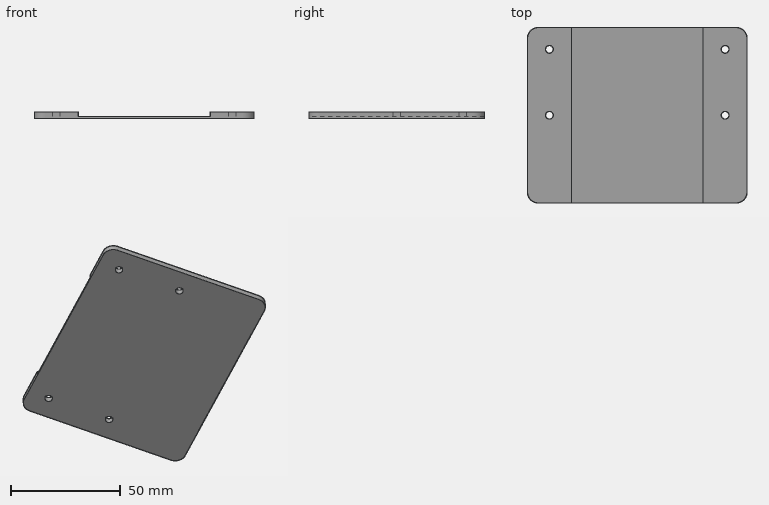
import cadquery as cq

length = 100.0
width = 80.0
thickness = 3.0
corner_radius = 5.0

strip_width = 20.0
floor_thickness = 1.0
channel_width = length - 2 * strip_width

hole_diameter = 3.4
hole_x = (length - strip_width) / 2
hole_spacing = 30.0
rear_hole_inset = 10.0
rear_hole_y = width / 2 - rear_hole_inset
hole_points = [
    (x, y)
    for x in (-hole_x, hole_x)
    for y in (rear_hole_y, rear_hole_y - hole_spacing)
]

plate = (
    cq.Workplane("XY")
    .rect(length, width)
    .extrude(thickness)
    .edges("|Z")
    .fillet(corner_radius)
)

channel = (
    cq.Workplane("XY")
    .workplane(offset=floor_thickness)
    .rect(channel_width, width)
    .extrude(thickness - floor_thickness)
)

holes = (
    cq.Workplane("XY")
    .pushPoints(hole_points)
    .circle(hole_diameter / 2)
    .extrude(thickness)
)

result = plate.cut(channel).cut(holes)